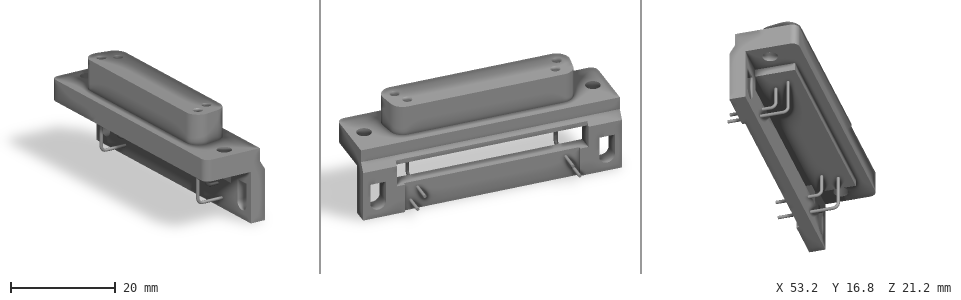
import cadquery as cq
import math

length = 53.2
total_height = 21.2
flange_bottom = 10.55
flange_top = 14.95
flange_back = 12.45
corner_radius = 1.5

wall_front = 10.4
wall_back = 13.55
slope_top = 12.35
slot_width = 3.2
slot_top = 7.6
slot_bottom = 1.75

window_width = 39.35
window_floor = 6.05
recess_width = 35.95
recess_face = 13.0

shell_front = 2.3
shell_back = 10.25
shell_front_width = 39.55
shell_draft = 10.0
shell_radius = 2.65

spacer_width = 40.3
spacer_front = 2.4
spacer_bottom = 8.95

mount_x = length / 2 - 3.1
mount_y = 6.35
mount_diameter = 3.0

contacts = [(15.2, 7.7, 4.65), (16.65, 4.85, 2.1)]
pin_diameter = 0.65
bend_radius = 1.05
pin_end = 16.8
socket_diameter = 1.95
socket_floor_diameter = 1.15
socket_depth = 0.4


def block(width, front, back, bottom, top):
    """Box centred on X = 0."""
    return cq.Workplane("XY").box(
        width, back - front, top - bottom, centered=(True, False, False)
    ).translate((0, front, bottom))


def make_bracket():
    """Flange and wall extruded from their L-shaped side profile."""
    profile = [
        (0, flange_bottom),
        (wall_front, flange_bottom),
        (wall_front, 0),
        (wall_back, 0),
        (wall_back, flange_bottom),
        (flange_back, slope_top),
        (flange_back, flange_top),
        (0, flange_top),
    ]
    bracket = cq.Workplane("YZ").polyline(profile).close().extrude(length / 2, both=True)
    return bracket.edges("|Z and <Y").fillet(corner_radius)


def make_shell():
    """D-shaped shell with rounded corners, narrower at the back."""
    taper = (shell_back - shell_front) * math.tan(math.radians(shell_draft))
    front_x = shell_front_width / 2
    back_x = front_x - taper
    outline = [
        (-front_x, shell_front),
        (front_x, shell_front),
        (back_x, shell_back),
        (-back_x, shell_back),
    ]
    shell = cq.Workplane("XY").workplane(offset=flange_top).polyline(outline).close()
    return shell.extrude(total_height - flange_top).edges("|Z").fillet(shell_radius)


def make_wall_slot(x):
    """Slot through the wall with a flat top and a round lower end."""
    radius = slot_width / 2
    outline = (
        cq.Workplane("XZ", origin=(x, wall_back, 0))
        .moveTo(-radius, slot_top)
        .lineTo(-radius, slot_bottom + radius)
        .threePointArc((0, slot_bottom), (radius, slot_bottom + radius))
        .lineTo(radius, slot_top)
        .close()
    )
    return outline.extrude(wall_back - wall_front)


def make_pin(x, y, tail_z):
    """Round pin running down from the spacer and bent back through the wall."""
    bend_offset = bend_radius * (1 - math.sqrt(0.5))
    path = (
        cq.Workplane("YZ", origin=(x, 0, 0))
        .moveTo(y, flange_bottom)
        .lineTo(y, tail_z + bend_radius)
        .threePointArc((y + bend_offset, tail_z + bend_offset), (y + bend_radius, tail_z))
        .lineTo(pin_end, tail_z)
    )
    section = cq.Workplane("XY", origin=(x, y, flange_bottom)).circle(pin_diameter / 2)
    return section.sweep(path)


def make_socket(x, y):
    """Conical recess with a flat floor in the top of the shell."""
    cone = cq.Solid.makeCone(
        socket_diameter / 2,
        socket_floor_diameter / 2,
        socket_depth,
        cq.Vector(x, y, total_height),
        cq.Vector(0, 0, -1),
    )
    return cq.Workplane(cone)


result = make_bracket().union(make_shell())

result = result.cut(block(window_width, wall_front, wall_back, window_floor, flange_bottom))
result = result.cut(block(window_width, recess_face, wall_back, window_floor, flange_top))
result = result.cut(block(recess_width, recess_face, wall_back, 0, window_floor))
result = result.union(block(spacer_width, spacer_front, wall_front, spacer_bottom, flange_bottom))

for side in (-1, 1):
    result = result.cut(make_wall_slot(side * mount_x))
    screw_hole = cq.Workplane("XY", origin=(side * mount_x, mount_y, flange_bottom))
    result = result.cut(screw_hole.circle(mount_diameter / 2).extrude(flange_top - flange_bottom))
    for contact_x, contact_y, tail_z in contacts:
        result = result.union(make_pin(side * contact_x, contact_y, tail_z))
        result = result.cut(make_socket(side * contact_x, contact_y))

result = result.translate((0, -pin_end / 2, 0))